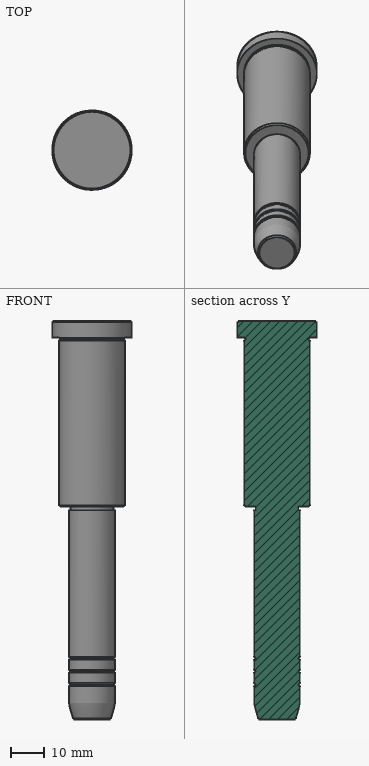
import cadquery as cq

total_length = 120.0
head_radius = 12.0
head_height = 5.0
body_radius = 10.0
body_bottom_z = 64.1
pin_radius = 7.0
edge_break = 0.5

groove_depth = 0.5
groove_pitch = 4.0
lowest_groove_z = 10.5
groove_count = 3

neck_height = 1.1
neck_depth = 0.5

tip_height = 5.0
tip_radius = 5.8
tip_chamfer = 0.5
tip_bulge = 0.1

head_bottom_z = total_length - head_height


def disc(radius, bottom_z, top_z):
    """Solid cylinder about Z between two heights."""
    return cq.Workplane("XY", origin=(0, 0, bottom_z)).circle(radius).extrude(top_z - bottom_z)


def ring_groove(shaft_radius, z):
    """Cutter for a 90 degree V groove around a shaft."""
    return (
        cq.Workplane("XZ")
        .moveTo(shaft_radius, z - groove_depth)
        .lineTo(shaft_radius - groove_depth, z)
        .lineTo(shaft_radius, z + groove_depth)
        .close()
        .revolve(360, (0, 0), (0, 1))
    )


def rounded_tip():
    """Bowed taper at the lower end of the pin, with a small end chamfer."""
    arc_middle = ((pin_radius + tip_radius) / 2 + tip_bulge, (tip_height + tip_chamfer) / 2)
    return (
        cq.Workplane("XZ")
        .moveTo(0, 0)
        .lineTo(tip_radius - tip_chamfer, 0)
        .lineTo(tip_radius, tip_chamfer)
        .threePointArc(arc_middle, (pin_radius, tip_height))
        .lineTo(0, tip_height)
        .close()
        .revolve(360, (0, 0), (0, 1))
    )


head = disc(head_radius, head_bottom_z, total_length).faces(">Z").chamfer(edge_break)
body = disc(body_radius, body_bottom_z, head_bottom_z).faces("<Z").chamfer(edge_break)
pin_top_z = body_bottom_z - neck_height
neck = disc(pin_radius - neck_depth, pin_top_z, body_bottom_z)
pin = disc(pin_radius, tip_height, pin_top_z)
result = head.union(body).union(neck).union(pin).union(rounded_tip())

result = result.cut(ring_groove(body_radius, head_bottom_z - groove_depth))

for index in range(groove_count):
    result = result.cut(ring_groove(pin_radius, lowest_groove_z + index * groove_pitch))